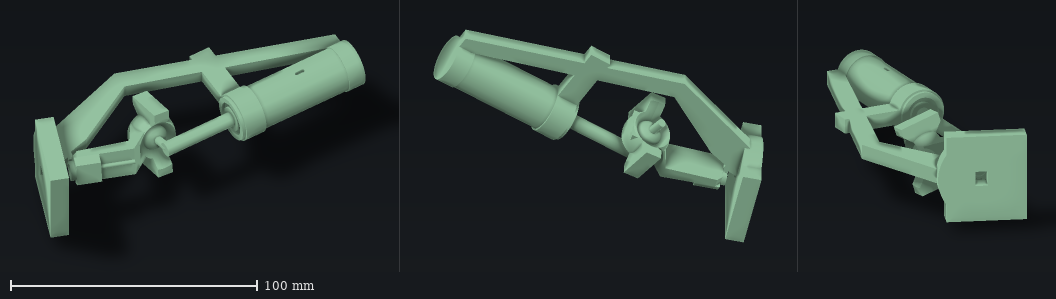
import cadquery as cq
import math


PLATE_SIZE = 36.3
PLATE_THICKNESS = 7.7
PLATE_ANGLE = 20.0
PLATE_FLAT_LEFT = 14.7
PLATE_HOLE_WIDTH = 5.2
PLATE_HOLE_OFFSET = -0.3
PLATE_X = -14.2

FRAME_THICKNESS = 6.1
LENGTH = 145.3
ELBOW_X, ELBOW_Y = -42.9, 57.8
ARM_TOP_X = -14.2
ARM_TOP_WIDTH = 6.7
ELBOW_WIDTH = 8.0
FOOT_OUTER = (-29.5, 17.7)
FOOT_INNER = (-14.2, 13.8)
LEDGE = [(-14.7, 18.7), (-13.5, 18.5), (-13.4, 19.6), (-15.1, 21.2), (-16.7, 21.4)]
ARM_BEND = (-19.0, 30.0)
CROSSBAR_LEFT = -34.9
CAP_RADIUS = 9.9
CAP_LENGTH = 7.5
COLLAR_RADIUS = 10.3
COLLAR_FRONT = 88.8
COLLAR_LENGTH = 9.2

MOTOR_RADIUS = 9.5
MOTOR_FRONT = 87.3
MOTOR_GROOVE_OUTER = 7.3
MOTOR_GROOVE_INNER = 5.2
MOTOR_GROOVE_DEPTH = 1.5
VENT_LENGTH, VENT_WIDTH = 4.4, 1.5
VENT_DEPTH = 1.5
VENT_Y = 120.0
SHAFT_RADIUS = 3.0
SHAFT_END = 56.1

LEVER_ROLL = 17.0
LEVER_THICKNESS = 12.5
JOINT_ACROSS, JOINT_ALONG = -17.5, 48.7
SOCKET_RADIUS = 9.9
BALL_RADIUS = 6.1
CONE_THROAT = 2.9
EAR_LENGTH = 17.6
EAR_HEIGHT = 30.2
EAR_BACK, EAR_FRONT = 3.9, 2.9
KNEE_ALONG = 38.5
KNEE_INNER_ALONG = 37.6
KNEE_WIDTH = 6.2
THIGH_ROOT = (-18.2, 40.4)
LEVER_END = 13.7
LEVER_END_WIDTH = 4.4
LEVER_END_CHAMFER = 2.0
BOSS_WIDTH = 4.0
BOSS_LENGTH = 10.3
BOSS_SIDE_HEIGHT = 9.3

TAB_ACROSS, TAB_ALONG = -24.8, 55.5

WOBBLE_PIN_RADIUS = 1.7
WOBBLE_PIN_REACH = 13.1
PIVOT_RADIUS = 1.0
PIVOT_HEAD_RADIUS = 4.0
PIVOT_HEAD_THICKNESS = 2.2
PIVOT_BORE_RADIUS = 3.0

SIN_PLATE = math.sin(math.radians(PLATE_ANGLE))
COS_PLATE = math.cos(math.radians(PLATE_ANGLE))
PLATE_Y = PLATE_SIZE / 2 * SIN_PLATE


def plate_point(across, along):
    """World (X, Y) of a point given across and along the pivot axis."""
    x = PLATE_X + across * COS_PLATE + along * SIN_PLATE
    y = PLATE_Y - across * SIN_PLATE + along * COS_PLATE
    return x, y


def pivot_plane(along):
    """Plane square to the pivot axis: local x across the plate, local y down, normal to the rear."""
    x, y = plate_point(0, along)
    return cq.Plane((x, y, 0), (COS_PLATE, -SIN_PLATE, 0), (SIN_PLATE, COS_PLATE, 0))


def rolled(body):
    """Turn a body about the pivot axis by the lever roll."""
    return body.rotate((*plate_point(0, 0), 0), (*plate_point(0, 1.5), 0), -LEVER_ROLL)


def cylinder_y(radius, start, end):
    """Cylinder on the motor axis between two Y positions."""
    return cq.Workplane("XZ", origin=(0, end, 0)).circle(radius).extrude(end - start)


def flat_prism(points, thickness):
    """Prism of an XY outline, centred on Z = 0."""
    return cq.Workplane("XY").polyline(points).close().extrude(thickness / 2, both=True)


def make_motor():
    motor = cylinder_y(MOTOR_RADIUS, MOTOR_FRONT, LENGTH - CAP_LENGTH)
    groove_floor = MOTOR_FRONT + MOTOR_GROOVE_DEPTH
    groove = cylinder_y(MOTOR_GROOVE_OUTER, MOTOR_FRONT, groove_floor)
    groove = groove.cut(cylinder_y(MOTOR_GROOVE_INNER, MOTOR_FRONT, groove_floor))
    vent = (
        cq.Workplane("XY", origin=(0, VENT_Y, MOTOR_RADIUS - VENT_DEPTH))
        .slot2D(VENT_LENGTH, VENT_WIDTH, 90)
        .extrude(2 * VENT_DEPTH)
    )
    return motor.cut(groove).cut(vent)


def make_pivot_pin():
    stem = cq.Workplane(pivot_plane(LEVER_END)).circle(PIVOT_RADIUS).extrude(KNEE_ALONG - LEVER_END)
    head = (
        cq.Workplane(pivot_plane(LEVER_END))
        .circle(PIVOT_HEAD_RADIUS)
        .extrude(-PIVOT_HEAD_THICKNESS)
    )
    recess = (
        cq.Workplane(pivot_plane(LEVER_END - PIVOT_HEAD_THICKNESS))
        .circle(PIVOT_BORE_RADIUS)
        .extrude(PIVOT_HEAD_THICKNESS / 2)
    )
    return stem.union(head).cut(recess)


def make_base_plate():
    flat_width = PLATE_FLAT_LEFT + PLATE_SIZE / 2
    flat_middle = (PLATE_SIZE / 2 - PLATE_FLAT_LEFT) / 2
    square = (
        cq.Workplane(pivot_plane(0))
        .center(flat_middle, 0)
        .rect(flat_width, PLATE_SIZE)
        .extrude(PLATE_THICKNESS)
    )
    bulge = cq.Workplane(pivot_plane(0)).circle(PLATE_SIZE / 2).extrude(PLATE_THICKNESS)
    return square.union(bulge)


def make_frame(motor, pivot_pin):
    upper_arm = [
        (ARM_TOP_X, LENGTH),
        (ELBOW_X, ELBOW_Y),
        (ELBOW_X + ELBOW_WIDTH, ELBOW_Y),
        (ARM_TOP_X + ARM_TOP_WIDTH, LENGTH),
    ]
    lower_arm = [
        (ELBOW_X, ELBOW_Y),
        FOOT_OUTER,
        FOOT_INNER,
        *LEDGE,
        ARM_BEND,
        (ELBOW_X + ELBOW_WIDTH, ELBOW_Y),
    ]
    crossbar_back = COLLAR_FRONT + COLLAR_LENGTH
    crossbar = [
        (CROSSBAR_LEFT, COLLAR_FRONT),
        (0, COLLAR_FRONT),
        (0, crossbar_back),
        (CROSSBAR_LEFT, crossbar_back),
    ]
    hole = (
        cq.Workplane(pivot_plane(0))
        .center(PLATE_HOLE_OFFSET, 0)
        .rect(PLATE_HOLE_WIDTH, FRAME_THICKNESS)
        .extrude(PLATE_THICKNESS)
    )
    frame = flat_prism(upper_arm, FRAME_THICKNESS)
    frame = frame.union(flat_prism(lower_arm, FRAME_THICKNESS))
    frame = frame.union(flat_prism(crossbar, FRAME_THICKNESS))
    frame = frame.union(cylinder_y(CAP_RADIUS, LENGTH - CAP_LENGTH, LENGTH))
    frame = frame.union(cylinder_y(COLLAR_RADIUS, COLLAR_FRONT, crossbar_back))
    frame = frame.union(make_base_plate())
    motor_space = cylinder_y(MOTOR_RADIUS, MOTOR_FRONT, LENGTH - CAP_LENGTH)
    return frame.cut(hole).cut(motor_space).cut(pivot_pin)


JOINT_X, JOINT_Y = plate_point(JOINT_ACROSS, JOINT_ALONG)
JOINT = rolled(cq.Vertex.makeVertex(JOINT_X, JOINT_Y, 0)).Center()


def make_joint_space():
    """Ball and the two cones that let the wobble pin swing."""
    reach = EAR_LENGTH / 2
    half = [(0, 0), (0, CONE_THROAT), (reach, CONE_THROAT + reach), (reach, 0)]
    space = cq.Workplane("XY").sphere(BALL_RADIUS)
    for turn in (0, 180):
        cone = cq.Workplane("XY").polyline(half).close().revolve(360, (0, 0), (1, 0))
        space = space.union(cone.rotate((0, 0, 0), (0, 0, 1), turn))
    return space.translate((JOINT_X, JOINT_Y, 0))


def make_clamp_blank(ear_thickness, side):
    """Half of the socket, a sphere cut to the ear length, with both ears, on the +Y or -Y side of the split."""
    sphere = cq.Workplane("XY").sphere(SOCKET_RADIUS)
    box_size = 2 * SOCKET_RADIUS
    half_space = cq.Workplane("XY").box(EAR_LENGTH, box_size, box_size)
    half_space = half_space.translate((0, side * SOCKET_RADIUS, 0))
    ears = cq.Workplane("XY").box(EAR_LENGTH, ear_thickness, EAR_HEIGHT)
    ears = ears.translate((0, side * ear_thickness / 2, 0))
    return sphere.intersect(half_space).union(ears).translate((JOINT_X, JOINT_Y, 0))


def make_tab():
    """Corner tab as thick as the lever that stands out behind the socket."""
    tab_x, tab_y = plate_point(TAB_ACROSS, TAB_ALONG)
    outline = [
        (tab_x, tab_y),
        plate_point(JOINT_ACROSS, TAB_ALONG),
        (JOINT_X, JOINT_Y),
        (tab_x, JOINT_Y),
    ]
    return flat_prism(outline, LEVER_THICKNESS)


def make_back_clamp():
    clamp = make_clamp_blank(EAR_BACK, 1).union(make_tab())
    return rolled(clamp.cut(make_joint_space()))


def make_lever(pivot_pin):
    thigh = [
        plate_point(0, KNEE_ALONG),
        (JOINT_X, JOINT_Y),
        plate_point(*THIGH_ROOT),
        plate_point(-KNEE_WIDTH, KNEE_INNER_ALONG),
    ]
    shin = [
        plate_point(0, KNEE_ALONG),
        plate_point(-KNEE_WIDTH, KNEE_INNER_ALONG),
        plate_point(-LEVER_END_WIDTH, LEVER_END),
        plate_point(0, LEVER_END),
    ]
    boss = [
        (0, LEVER_THICKNESS / 2),
        (BOSS_WIDTH, BOSS_SIDE_HEIGHT / 2),
        (BOSS_WIDTH, -BOSS_SIDE_HEIGHT / 2),
        (0, -LEVER_THICKNESS / 2),
    ]
    shin_body = flat_prism(shin, LEVER_THICKNESS)
    end_face = cq.NearestToPointSelector((*plate_point(-LEVER_END_WIDTH / 2, LEVER_END), 0))
    shin_body = shin_body.faces(end_face).edges("#Z").chamfer(LEVER_END_CHAMFER)
    lever = make_clamp_blank(EAR_FRONT, -1).union(flat_prism(thigh, LEVER_THICKNESS)).union(shin_body)
    lever = lever.union(cq.Workplane(pivot_plane(LEVER_END)).polyline(boss).close().extrude(BOSS_LENGTH))
    return rolled(lever.cut(make_joint_space())).cut(pivot_pin)


def make_wobble_pin():
    span = math.hypot(JOINT.x, JOINT.z)
    plane = cq.Plane(JOINT.toTuple(), (0, 1, 0), (-JOINT.x, 0, -JOINT.z))
    pin = (
        cq.Workplane(plane)
        .workplane(offset=-WOBBLE_PIN_REACH)
        .circle(WOBBLE_PIN_RADIUS)
        .extrude(WOBBLE_PIN_REACH + span)
    )
    return pin.union(cq.Workplane("XY").sphere(BALL_RADIUS).translate(JOINT.toTuple()))


def make_shaft(wobble_pin):
    return cylinder_y(SHAFT_RADIUS, SHAFT_END, MOTOR_FRONT).cut(wobble_pin)


motor = make_motor()
pivot_pin = make_pivot_pin()
frame = make_frame(motor, pivot_pin)
back_clamp = make_back_clamp()
lever = make_lever(pivot_pin)
wobble_pin = make_wobble_pin()
shaft = make_shaft(wobble_pin)

bodies = [frame, motor, shaft, wobble_pin, back_clamp, lever, pivot_pin]
result = cq.Compound.makeCompound([body.solids().val() for body in bodies])